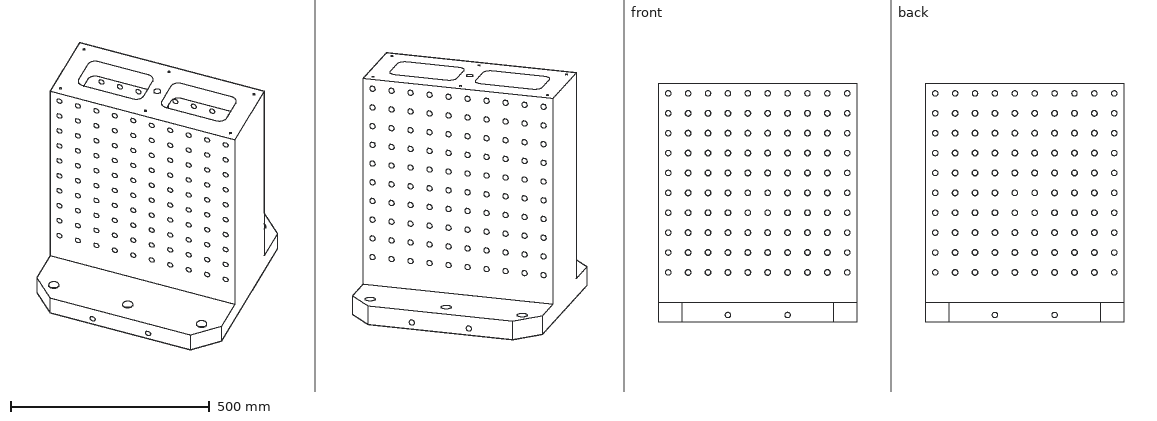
import cadquery as cq
import math

height = 600.0
pitch = height / 12
width = 10 * pitch
base_thickness = pitch
column_depth = 4 * pitch
corner_chamfer = 60.0

corner_radius = 20.0
neck_length = 3.5 * pitch
neck_depth = 2 * pitch
neck_gap = pitch
neck_z = height - pitch
chamber_wall = 40.0
cavity_length = width - 2 * chamber_wall
cavity_depth = column_depth - 2 * chamber_wall
floor_z = base_thickness
web_thickness = 20.0
web_corner_radius = 5.0
web_window_depth = neck_depth
floor_opening_length = 110.0
floor_opening_x = 115.0

tap_diameter = 14.0
tap_depth = 30.0
grid_count = 10
grid_edge = pitch / 2
base_tap_x = 1.5 * pitch
base_tap_z = 18.0
lift_diameter = 17.5
lift_depth = 40.0
cover_diameter = 5.0
cover_depth = 15.0
cover_x = 230.0
cover_y = 80.0
bolt_diameter = 18.0
bolt_head_diameter = 26.0
bolt_head_depth = 20.0
bolt_spacing = 4 * pitch
drill_point_angle = 118.0


def block(x_size, y_size, z_bottom, z_top, x_centre=0.0):
    """Axis-aligned box centred on Y = 0."""
    z_size = z_top - z_bottom
    box = cq.Workplane("XY").box(x_size, y_size, z_size, centered=(True, True, False))
    return box.translate((x_centre, 0, z_bottom))


def cylinder(point, direction, diameter, depth):
    """Flat-ended drill body."""
    return cq.Solid.makeCylinder(diameter / 2, depth, cq.Vector(*point), cq.Vector(*direction))


def blind_hole(point, direction, diameter, depth):
    """Drill body with a conical point beyond its full-diameter depth."""
    radius = diameter / 2
    tip_length = radius / math.tan(math.radians(drill_point_angle / 2))
    axis = cq.Vector(*direction)
    tip_start = cq.Vector(*point) + axis * depth
    tip = cq.Solid.makeCone(radius, 0, tip_length, tip_start, axis)
    return cylinder(point, direction, diameter, depth).fuse(tip)


def make_body():
    """Clipped base plate with the upright column on it."""
    base = block(width, width, 0, base_thickness).edges("|Z").chamfer(corner_chamfer)
    return base.union(block(width, column_depth, base_thickness, height))


def make_cavity():
    """Full cavity below the top wall, with a rounded floor, before the web divides it."""
    cavity = block(cavity_length, cavity_depth, floor_z, neck_z)
    return cavity.edges("|Z or <Z").fillet(corner_radius)


def make_chamber_limit(side):
    """Extent of one chamber; its corners at the web are tighter than the outer ones."""
    length = (cavity_length - web_thickness) / 2
    centre = side * (cavity_length + web_thickness) / 4
    limit = block(length, cavity_depth, floor_z, neck_z, centre)
    web_side = "<X" if side > 0 else ">X"
    return limit.faces(web_side).edges("|Z").fillet(web_corner_radius)


def make_neck(side):
    """Rounded opening in the top face that leads into a chamber."""
    centre = side * (neck_length + neck_gap) / 2
    return block(neck_length, neck_depth, neck_z, height, centre).edges("|Z").fillet(corner_radius)


def make_floor_opening(side):
    """Rounded opening through the base, as deep in Y as the chamber above it."""
    top = floor_z + corner_radius
    opening = block(floor_opening_length, cavity_depth, 0, top, side * floor_opening_x)
    return opening.edges("|Z").fillet(corner_radius)


def cut_interior(body):
    cavity = make_cavity()
    for side in (-1, 1):
        body = body.cut(cavity.intersect(make_chamber_limit(side)))
        body = body.cut(make_neck(side)).cut(make_floor_opening(side))
    window_length = web_thickness + 2 * web_corner_radius
    window = block(window_length, web_window_depth, floor_z, neck_z)
    return body.cut(cavity.intersect(window))


def grid_hole_is_blind(x, z):
    """The outer columns, the top row and a central group of four stay blind."""
    in_outer_column = abs(x) > width / 2 - pitch
    in_top_row = z > neck_z
    in_central_group = abs(x) < pitch and abs(z - height / 2) < pitch
    return in_outer_column or in_top_row or in_central_group


def grid_holes():
    """Tapped grid on both broad faces of the column."""
    holes = []
    for column in range(grid_count):
        for row in range(grid_count):
            x = -width / 2 + grid_edge + column * pitch
            z = height - grid_edge - row * pitch
            if grid_hole_is_blind(x, z):
                for side in (-1, 1):
                    start = (x, side * column_depth / 2, z)
                    holes.append(blind_hole(start, (0, -side, 0), tap_diameter, tap_depth))
            else:
                holes.append(cylinder((x, -column_depth / 2, z), (0, 1, 0), tap_diameter, column_depth))
    return holes


def base_side_holes():
    """Two tapped holes in the front and back edges of the base plate."""
    holes = []
    for side in (-1, 1):
        for x in (-base_tap_x, base_tap_x):
            start = (x, side * width / 2, base_tap_z)
            holes.append(blind_hole(start, (0, -side, 0), tap_diameter, tap_depth))
    return holes


def top_holes():
    """Lifting hole in the centre and cover-screw holes along both long edges."""
    down = (0, 0, -1)
    holes = [blind_hole((0, 0, height), down, lift_diameter, lift_depth)]
    for x in (-cover_x, 0, cover_x):
        for y in (-cover_y, cover_y):
            holes.append(blind_hole((x, y, height), down, cover_diameter, cover_depth))
    return holes


def base_bolt_holes():
    """Counterbored through holes along the front and back of the base plate."""
    down = (0, 0, -1)
    holes = []
    for x in (-bolt_spacing, 0, bolt_spacing):
        for y in (-bolt_spacing, bolt_spacing):
            start = (x, y, base_thickness)
            shank = cylinder(start, down, bolt_diameter, base_thickness)
            holes.append(shank.fuse(cylinder(start, down, bolt_head_diameter, bolt_head_depth)))
    return holes


drills = grid_holes() + base_side_holes() + top_holes() + base_bolt_holes()
part = cut_interior(make_body())
result = cq.Workplane("XY").newObject([part.val().cut(*drills)])